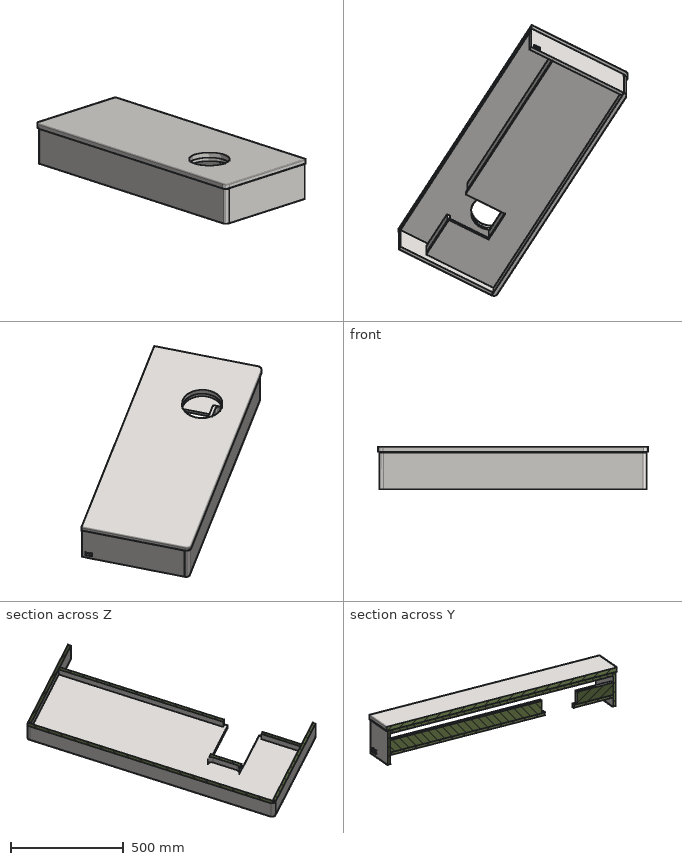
import cadquery as cq

width = 1200.0
depth = 500.0
height = 190.0
back_y = depth / 2

countertop_thickness = 24.0
countertop_corner_radius = 22.0
edge_fillet = 3.0
countertop_bottom = height - countertop_thickness

basin_x = 300.0
basin_y = -55.0
basin_diameter = 180.0

board = 16.0
end_inset = 6.0
front_inset = 6.5
carcass_half_width = width / 2 - end_inset
inner_half_width = carcass_half_width - board
top_panel_bottom = countertop_bottom - board

front_thickness = 19.0
front_corner_radius = 17.5
front_top_gap = 3.0
front_side_gap = 2.0
front_face_y = -depth / 2 + front_inset
front_back_y = front_face_y + front_thickness
carcass_front_y = front_back_y + front_side_gap

pocket_length = 32.0
pocket_height = 18.0
pocket_depth = 8.0
pocket_rear_y = back_y - 15.0
pocket_bottom = 14.5
cap_clearance = 3.0

floor_thickness = 16.0
floor_top = 60.0
floor_bottom = floor_top - floor_thickness
notch_half_width = 75.0
notch_front_y = -84.0
drawer_rear_y = 119.0

drawer_wall_top = 120.0
back_board_gap_half_width = notch_half_width + board

notch_wall_front_y = notch_front_y - board
notch_wall_corner_radius = 35.0 / 2


def block(x0, x1, y0, y1, z0, z1):
    """Box between two opposite corners."""
    return cq.Workplane("XY").box(x1 - x0, y1 - y0, z1 - z0, centered=False).translate((x0, y0, z0))


def basin_cutter():
    """Cylinder through the full height on the basin axis."""
    return cq.Workplane("XY").center(basin_x, basin_y).circle(basin_diameter / 2).extrude(height)


def make_countertop():
    slab = block(-width / 2, width / 2, -back_y, back_y, countertop_bottom, height)
    slab = slab.edges("|Z and <Y").fillet(countertop_corner_radius)
    slab = slab.faces(">Z or <Z").edges("not >Y").fillet(edge_fillet)
    return slab.cut(basin_cutter())


def make_top_panel():
    panel = block(-inner_half_width, inner_half_width, carcass_front_y, back_y,
                  top_panel_bottom, countertop_bottom)
    return panel.cut(basin_cutter())


def pocket_block(clearance=0.0):
    """Block filling the side pocket, smaller by the clearance on its four edges."""
    return block(
        -carcass_half_width,
        -carcass_half_width + pocket_depth,
        pocket_rear_y - pocket_length + clearance,
        pocket_rear_y - clearance,
        pocket_bottom + clearance,
        pocket_bottom + pocket_height - clearance,
    )


def make_side_panel(side):
    """Side board; side is -1 at the -X end, where the pocket is, and +1 at the +X end."""
    x0, x1 = sorted((side * inner_half_width, side * carcass_half_width))
    panel = block(x0, x1, carcass_front_y, back_y, 0, countertop_bottom)
    if side < 0:
        panel = panel.cut(pocket_block())
    return panel


def make_drawer_front():
    front_top = countertop_bottom - front_top_gap
    panel = block(-carcass_half_width, carcass_half_width, front_face_y, front_back_y, 0, front_top)
    return panel.edges("|Z and <Y").fillet(front_corner_radius)


def make_drawer_floor():
    floor = block(-inner_half_width, inner_half_width, front_back_y, drawer_rear_y, floor_bottom, floor_top)
    notch = block(basin_x - notch_half_width, basin_x + notch_half_width,
                  notch_front_y, drawer_rear_y, floor_bottom, floor_top)
    return floor.cut(notch)


def make_drawer_back(x0, x1):
    """Upright board on the rear of the drawer floor between two X positions."""
    return block(x0, x1, drawer_rear_y - board, drawer_rear_y, floor_top, drawer_wall_top)


def make_notch_wall():
    r = notch_wall_corner_radius
    arc_y = notch_wall_front_y - r
    left = basin_x - notch_half_width
    right = basin_x + notch_half_width
    wall = block(left, right, arc_y, notch_front_y, floor_top, drawer_wall_top)
    hollow = block(left, right, arc_y - r, notch_wall_front_y, floor_top, drawer_wall_top)
    hollow = hollow.edges("|Z and >Y").fillet(r)
    return wall.cut(hollow)


countertop = make_countertop()
top_panel = make_top_panel()
side_panels = [make_side_panel(side) for side in (-1, 1)]
pocket_cap = pocket_block(cap_clearance)
drawer_front = make_drawer_front()
drawer_floor = make_drawer_floor()
drawer_backs = [
    make_drawer_back(-inner_half_width, basin_x - back_board_gap_half_width),
    make_drawer_back(basin_x + back_board_gap_half_width, inner_half_width),
]
notch_wall = make_notch_wall()

result = cq.Compound.makeCompound([
    countertop.val(),
    top_panel.val(),
    *[panel.val() for panel in side_panels],
    pocket_cap.val(),
    drawer_front.val(),
    drawer_floor.val(),
    *[board_body.val() for board_body in drawer_backs],
    notch_wall.val(),
])